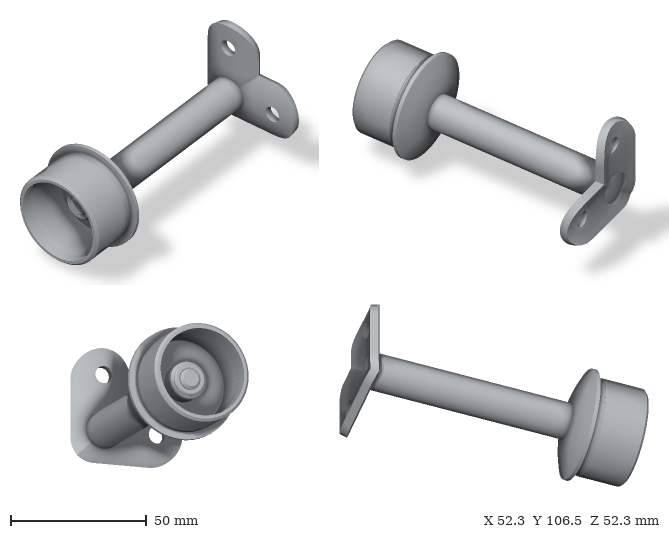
import cadquery as cq
import math

OVERALL_LENGTH = 106.5

POST_DIAMETER = 14.0
SPIGOT_DIAMETER = 12.0
SCREW_DIAMETER = 8.0

PLUG_DIAMETER = 37.3
PLUG_RIM_CHAMFER = 1.0
NECK_DIAMETER = 36.9
NECK_START = 17.0
FLANGE_DIAMETER = 42.4
FLANGE_START = 20.0
FLANGE_THICKNESS = 1.5
DOME_TOP = 26.0
DOME_RADIUS = 45.3
BORE_DIAMETER = 33
BORE_DEPTH = 21.0
BORE_FLOOR_FILLET = 0.4
BOSS_DIAMETER = 14.0
BOSS_END = 13.5

POST_TOP = 101.0
SPIGOT_END = 12.5
SPIGOT_CHAMFER = 0.5
BORE_MOUTH_DIAMETER = 8.5

SCREW_TIP = 11.3
SCREW_TIP_DIAMETER = 6.0
SCREW_HEAD_DIAMETER = 12.5
SCREW_HEAD_TOP = 104.1

RAIL_DIAMETER = 42.0
PLATE_THICKNESS = 3.2
ARM_WIDTH = 24.1
ARM_STRAIGHT_LENGTH = 19.0
CORNER_RADIUS = 9.2
PLATE_HOLE_DIAMETER = 6.5
PLATE_HOLE_DISTANCE = 21.0

POST_RADIUS = POST_DIAMETER / 2
SPIGOT_RADIUS = SPIGOT_DIAMETER / 2
SCREW_RADIUS = SCREW_DIAMETER / 2
RAIL_RADIUS = RAIL_DIAMETER / 2
PLATE_OUTER_RADIUS = RAIL_RADIUS + PLATE_THICKNESS
ARM_HALF_WIDTH = ARM_WIDTH / 2
ARM_HALF_ANGLE = math.asin(ARM_HALF_WIDTH / PLATE_OUTER_RADIUS)
RAIL_AXIS_Y = OVERALL_LENGTH + RAIL_RADIUS * math.cos(ARM_HALF_ANGLE)

TRIM_REACH = 2 * ARM_WIDTH
TRIM_INNER_DEPTH = 0.8 * RAIL_RADIUS
TRIM_OUTER_DEPTH = 1.1 * PLATE_OUTER_RADIUS


def revolve_about_y(profile):
    """Full revolution of a closed (radius, Y) profile about the Y axis."""
    return profile.close().revolve(360, (0, 0, 0), (0, 1, 0))


def make_cup():
    plug_radius = PLUG_DIAMETER / 2
    neck_radius = NECK_DIAMETER / 2
    flange_radius = FLANGE_DIAMETER / 2
    flange_top = FLANGE_START + FLANGE_THICKNESS
    bore_radius = BORE_DIAMETER / 2
    boss_radius = BOSS_DIAMETER / 2
    boss_chamfer = boss_radius - SPIGOT_RADIUS

    profile = (
        cq.Workplane("XY")
        .moveTo(bore_radius, 0)
        .lineTo(plug_radius - PLUG_RIM_CHAMFER, 0)
        .lineTo(plug_radius, PLUG_RIM_CHAMFER)
        .lineTo(plug_radius, NECK_START)
        .lineTo(neck_radius, NECK_START)
        .lineTo(neck_radius, FLANGE_START)
        .lineTo(flange_radius, FLANGE_START)
        .lineTo(flange_radius, flange_top)
        .radiusArc((POST_RADIUS, DOME_TOP), -DOME_RADIUS)
        .lineTo(SPIGOT_RADIUS, DOME_TOP)
        .lineTo(SPIGOT_RADIUS, BOSS_END)
        .lineTo(boss_radius, BOSS_END + boss_chamfer)
        .lineTo(boss_radius, BORE_DEPTH)
        .lineTo(bore_radius - BORE_FLOOR_FILLET, BORE_DEPTH)
        .radiusArc((bore_radius, BORE_DEPTH - BORE_FLOOR_FILLET), BORE_FLOOR_FILLET)
    )
    return revolve_about_y(profile)


def make_post():
    mouth_radius = BORE_MOUTH_DIAMETER / 2
    profile = cq.Workplane("XY").polyline(
        [
            (mouth_radius, SPIGOT_END),
            (SPIGOT_RADIUS - SPIGOT_CHAMFER, SPIGOT_END),
            (SPIGOT_RADIUS, SPIGOT_END + SPIGOT_CHAMFER),
            (SPIGOT_RADIUS, DOME_TOP),
            (POST_RADIUS, DOME_TOP),
            (POST_RADIUS, POST_TOP),
            (SCREW_RADIUS, POST_TOP),
            (SCREW_RADIUS, SPIGOT_END + mouth_radius - SCREW_RADIUS),
        ]
    )
    return revolve_about_y(profile)


def screw_shape(top):
    """Screw with a 90 degree head cone that widens up to the given top."""
    tip_radius = SCREW_TIP_DIAMETER / 2
    top_radius = SCREW_HEAD_DIAMETER / 2 + top - SCREW_HEAD_TOP
    profile = cq.Workplane("XY").polyline(
        [
            (0, SCREW_TIP),
            (tip_radius, SCREW_TIP),
            (SCREW_RADIUS, SCREW_TIP + SCREW_RADIUS - tip_radius),
            (SCREW_RADIUS, top - top_radius + SCREW_RADIUS),
            (top_radius, top),
            (0, top),
        ]
    )
    return revolve_about_y(profile)


def make_screw():
    return screw_shape(SCREW_HEAD_TOP)


def below_rail_axis(depth):
    """XZ workplane at a depth below the rail axes, facing the cup."""
    return cq.Workplane("XZ", origin=(0, RAIL_AXIS_Y - depth, 0))


def across_rail():
    """YZ workplane centred on the rail along X, at the start of the trimming reach."""
    return cq.Workplane("YZ", origin=(-TRIM_REACH, RAIL_AXIS_Y, 0))


def trim_loft(outline):
    """Ruled solid between an outline's wires at the inner and the outer trimming depth."""
    wires = [outline(TRIM_INNER_DEPTH), outline(TRIM_OUTER_DEPTH)]
    return cq.Workplane(cq.Solid.makeLoft(wires, True))


def rounded_end_outline(depth):
    """Arm end: a semicircle on the outer face, with its edge walls square to the rail axis."""

    def end_point(t):
        turn = math.pi * (t - 0.5)
        roll = math.asin(math.sin(turn) * ARM_HALF_WIDTH / PLATE_OUTER_RADIUS)
        return (ARM_STRAIGHT_LENGTH + ARM_HALF_WIDTH * math.cos(turn), depth * math.tan(roll))

    return below_rail_axis(depth).parametricCurve(end_point, N=24, makeWire=False).close().val()


def rounded_corner_outline(depth):
    """Outer elbow corner, scaled with the depth so that its wall points at the crossing of the rail axes."""
    edge = depth * math.tan(ARM_HALF_ANGLE)
    radius = CORNER_RADIUS * edge / ARM_HALF_WIDTH
    tangent = edge - radius
    diagonal = tangent + radius * math.sqrt(0.5)
    return (
        below_rail_axis(depth)
        .moveTo(-edge, -tangent)
        .threePointArc((-diagonal, -diagonal), (-tangent, -edge))
        .lineTo(TRIM_REACH, -edge)
        .lineTo(TRIM_REACH, TRIM_REACH)
        .lineTo(-edge, TRIM_REACH)
        .close()
        .val()
    )


def make_arm():
    """The half of the plate that follows the rail along X, up to the mitre plane X = Z."""
    shell = across_rail().circle(PLATE_OUTER_RADIUS).circle(RAIL_RADIUS).extrude(2 * TRIM_REACH)
    sector_half_width = TRIM_REACH * math.tan(ARM_HALF_ANGLE)
    sector = (
        across_rail()
        .polyline([(0, 0), (-TRIM_REACH, -sector_half_width), (-TRIM_REACH, sector_half_width)])
        .close()
        .extrude(TRIM_REACH + ARM_STRAIGHT_LENGTH)
    )
    mitre = (
        below_rail_axis(0)
        .polyline([(-TRIM_REACH, -TRIM_REACH), (TRIM_REACH, TRIM_REACH), (TRIM_REACH, -TRIM_REACH)])
        .close()
        .extrude(TRIM_OUTER_DEPTH)
    )
    hole = (
        below_rail_axis(0)
        .center(PLATE_HOLE_DISTANCE, 0)
        .circle(PLATE_HOLE_DIAMETER / 2)
        .extrude(TRIM_OUTER_DEPTH)
    )
    straight = shell.intersect(sector).intersect(mitre).intersect(trim_loft(rounded_corner_outline))
    end = shell.intersect(trim_loft(rounded_end_outline))
    return straight.union(end).cut(hole)


def make_plate():
    arm_along_x = make_arm()
    arm_along_z = arm_along_x.mirror("XY").rotate((0, 0, 0), (0, 1, 0), -90)
    post_seat = below_rail_axis(RAIL_AXIS_Y - POST_TOP).circle(POST_RADIUS).extrude(PLATE_THICKNESS)
    countersink = screw_shape(OVERALL_LENGTH)
    return arm_along_x.union(arm_along_z).cut(post_seat).cut(countersink)


cup = make_cup()
post = make_post()
screw = make_screw()
plate = make_plate()

result = cq.Compound.makeCompound([cup.val(), post.val(), screw.val(), plate.val()])